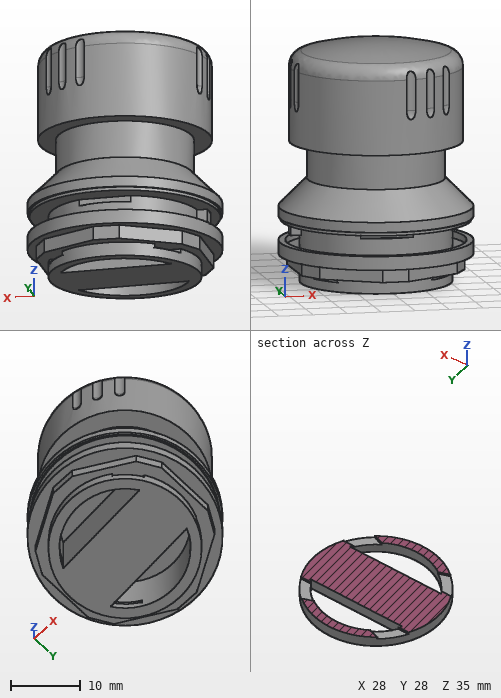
import cadquery as cq
import math

WINDOW_BOTTOM = 1.4
NUT_BOTTOM = 2.0
FLANGE_BOTTOM = 4.0
FLANGE_TOP = 5.98
COLLAR_BOTTOM = 8.05
LIP_BOTTOM = 8.95
BEZEL_BOTTOM = 9.45
CONE_BOTTOM = 10.95
CAP_BOTTOM = 20.4
TOTAL_HEIGHT = 34.95

BARREL_RADIUS = 22.0 / 2
BORE_RADIUS = 18.8 / 2
FLANGE_RADIUS = 28.0 / 2
SEAL_RECESS_RADIUS = 26.0 / 2
LIP_RADIUS = 27.4 / 2
BEZEL_RADIUS = FLANGE_RADIUS
NECK_RADIUS = 19.85 / 2
CAP_RADIUS = 25.0 / 2

CONE_TOP = CONE_BOTTOM + BEZEL_RADIUS - NECK_RADIUS

SEAL_RECESS_DEPTH = 1.0

DOME_RADIUS = 41.95
CAP_FILLET = 2.3

GROOVE_RADIUS = 1.0
GROOVE_DEPTH = 0.308
GROOVE_BOTTOM = 26.8
RUNOUT_BEND_RADIUS = 2.0
GROOVE_GROUPS = 3
GROOVES_PER_GROUP = 3
GROOVE_PITCH_ANGLE = 15
FIRST_GROOVE_ANGLE = 41

NUT_ACROSS_FLATS = 24.0
NUT_ACROSS_CORNERS = 25.5

KEY_ANGLE = -4.0
COLLAR_FLAT_DISTANCE = 10.3
KEY_WIDTH = 1.9
KEY_REACH = 12.5
KEY_BOTTOM = 7.05
KEY_TOP = 8.85

WINDOW_HALF_GAP = 5.0
WINDOW_OUTER_ANGLE = 51
WINDOW_INNER_ANGLE = 57
BAR_WIDTH = 9.1


def disc(radius, bottom, top):
    return cq.Workplane("XY").workplane(offset=bottom).circle(radius).extrude(top - bottom)


def block(x_size, y_size, bottom, top):
    return cq.Workplane("XY").workplane(offset=bottom).rect(x_size, y_size).extrude(top - bottom)


def turned(shape, angle):
    return shape.rotate((0, 0, 0), (0, 0, 1), angle)


def hexagon(across_flats, first_corner_angle):
    corner_diameter = across_flats / math.cos(math.radians(30))
    prism = (
        cq.Workplane("XY")
        .workplane(offset=NUT_BOTTOM)
        .polygon(6, corner_diameter)
        .extrude(FLANGE_BOTTOM - NUT_BOTTOM)
    )
    return turned(prism, first_corner_angle)


def make_groove_cutter():
    """Round bar running up past the cap, its lower end bending outward out of the side."""
    centre = CAP_RADIUS - GROOVE_DEPTH + GROOVE_RADIUS
    plane = cq.Workplane("XY").workplane(offset=GROOVE_BOTTOM).center(centre, 0)
    straight = plane.circle(GROOVE_RADIUS).extrude(TOTAL_HEIGHT - GROOVE_BOTTOM)
    runout = plane.circle(GROOVE_RADIUS).revolve(90, (RUNOUT_BEND_RADIUS, 0.35, 0), (RUNOUT_BEND_RADIUS, -0.35, 0))
    return straight.union(runout)


def make_cap():
    dome_centre = TOTAL_HEIGHT - DOME_RADIUS
    dome_edge = dome_centre + math.sqrt(DOME_RADIUS**2 - CAP_RADIUS**2)
    half_angle = math.asin(CAP_RADIUS / DOME_RADIUS) / 2
    dome_middle = (DOME_RADIUS * math.sin(half_angle), dome_centre + DOME_RADIUS * math.cos(half_angle))
    cap = (
        cq.Workplane("XZ")
        .moveTo(0, CAP_BOTTOM)
        .lineTo(CAP_RADIUS, CAP_BOTTOM)
        .lineTo(CAP_RADIUS, dome_edge)
        .threePointArc(dome_middle, (0, TOTAL_HEIGHT))
        .close()
        .revolve(360, (0, 0, 0), (0, 1, 0))
    )
    cap = cap.faces("%SPHERE").edges("<Z").fillet(CAP_FILLET)
    cutter = make_groove_cutter()
    for group in range(GROOVE_GROUPS):
        for groove in range(GROOVES_PER_GROUP):
            angle = FIRST_GROOVE_ANGLE + group * 360 / GROOVE_GROUPS + groove * GROOVE_PITCH_ANGLE
            cap = cap.cut(turned(cutter, angle))
    return cap


def make_bezel():
    cone = (
        cq.Workplane("XZ")
        .polyline(
            [
                (0, BEZEL_BOTTOM),
                (BEZEL_RADIUS, BEZEL_BOTTOM),
                (BEZEL_RADIUS, CONE_BOTTOM),
                (NECK_RADIUS, CONE_TOP),
                (NECK_RADIUS, CAP_BOTTOM),
                (0, CAP_BOTTOM),
            ]
        )
        .close()
        .revolve(360, (0, 0, 0), (0, 1, 0))
    )
    return cone.union(disc(LIP_RADIUS, LIP_BOTTOM, BEZEL_BOTTOM))


def on_circle(radius, angle):
    return (radius * math.cos(math.radians(angle)), radius * math.sin(math.radians(angle)))


def make_window():
    """Opening through the wall, from the bar side round to a slanted end face."""
    side_inner = (math.sqrt(BORE_RADIUS**2 - WINDOW_HALF_GAP**2), WINDOW_HALF_GAP)
    side_outer = (math.sqrt(BARREL_RADIUS**2 - WINDOW_HALF_GAP**2), WINDOW_HALF_GAP)
    end_inner = on_circle(BORE_RADIUS, WINDOW_INNER_ANGLE)
    end_outer = on_circle(BARREL_RADIUS, WINDOW_OUTER_ANGLE)
    inner_start_angle = math.degrees(math.asin(WINDOW_HALF_GAP / BORE_RADIUS))
    outer_start_angle = math.degrees(math.asin(WINDOW_HALF_GAP / BARREL_RADIUS))
    inner_middle = on_circle(BORE_RADIUS, (inner_start_angle + WINDOW_INNER_ANGLE) / 2)
    outer_middle = on_circle(BARREL_RADIUS, (outer_start_angle + WINDOW_OUTER_ANGLE) / 2)
    return (
        cq.Workplane("XY")
        .workplane(offset=WINDOW_BOTTOM)
        .moveTo(*side_inner)
        .lineTo(*side_outer)
        .threePointArc(outer_middle, end_outer)
        .lineTo(*end_inner)
        .threePointArc(inner_middle, side_inner)
        .close()
        .extrude(NUT_BOTTOM - WINDOW_BOTTOM)
    )


def make_barrel():
    """Hollow barrel with a bar across its bore, a flatted collar and a key on its -X side."""
    collar = disc(BARREL_RADIUS, COLLAR_BOTTOM, LIP_BOTTOM).intersect(
        block(2 * BARREL_RADIUS, 2 * COLLAR_FLAT_DISTANCE, COLLAR_BOTTOM, LIP_BOTTOM)
    )
    bore = disc(BORE_RADIUS, 0, LIP_BOTTOM)
    bar = bore.intersect(block(2 * BARREL_RADIUS, BAR_WIDTH, 0, LIP_BOTTOM))
    key_length = KEY_REACH - BORE_RADIUS
    key = block(key_length, KEY_WIDTH, KEY_BOTTOM, KEY_TOP)
    key = key.translate((-KEY_REACH + key_length / 2, 0, 0))
    barrel = disc(BARREL_RADIUS, 0, COLLAR_BOTTOM).union(collar)
    barrel = barrel.cut(bore).union(bar).union(key)
    window = make_window()
    window_pair = window.union(window.mirror("XZ"))
    barrel = barrel.cut(window_pair).cut(window_pair.mirror("YZ"))
    return turned(barrel, KEY_ANGLE)


def make_nut_and_flange():
    """Locknut and flange with a seal recess, open in the middle for the barrel."""
    nut = hexagon(NUT_ACROSS_FLATS, 30).intersect(hexagon(NUT_ACROSS_CORNERS, 0))
    flange = disc(FLANGE_RADIUS, FLANGE_BOTTOM, FLANGE_TOP)
    recess = disc(SEAL_RECESS_RADIUS, FLANGE_TOP - SEAL_RECESS_DEPTH, FLANGE_TOP)
    return nut.union(flange.cut(recess)).cut(disc(BARREL_RADIUS, NUT_BOTTOM, FLANGE_TOP))


result = make_barrel().union(make_nut_and_flange()).union(make_bezel()).union(make_cap())